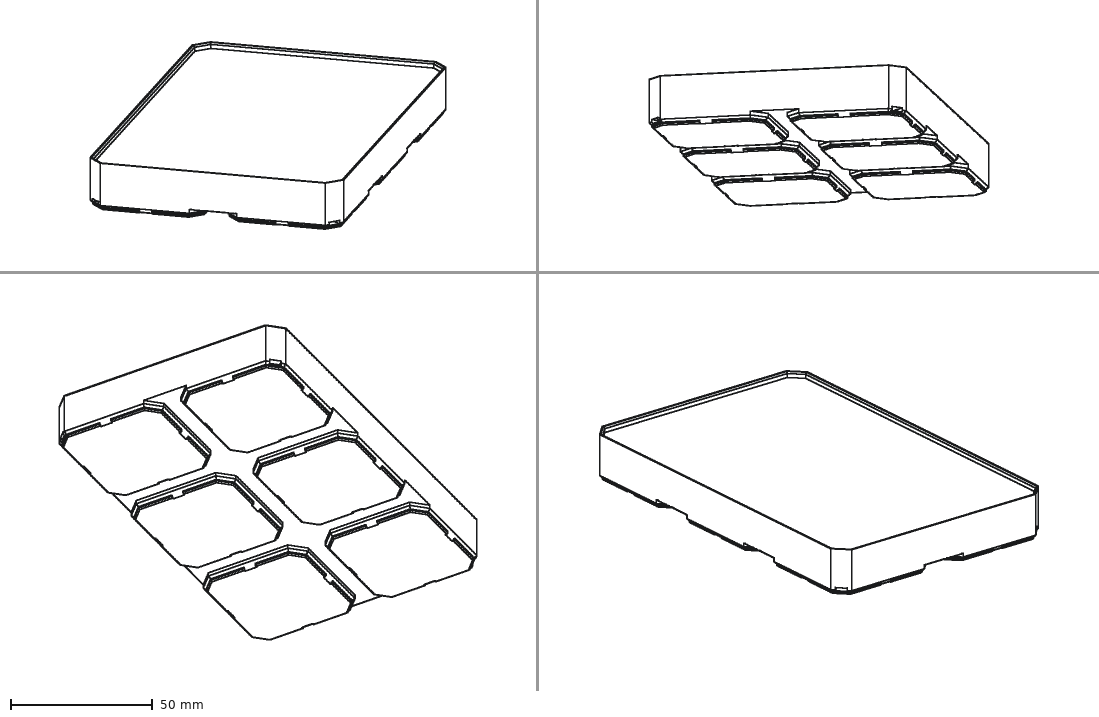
import cadquery as cq
import math

CELL_PITCH = 50.0
CELLS_X = 2
CELLS_Y = 3
FOOT_SIZE = 43.0
CORNER_CUT = 5.2

TOTAL_HEIGHT = 17.6
FOOT_HEIGHT = 3.3

TOE_CHAMFER = 0.5
TOE_WALL = 0.5
SHOULDER_CHAMFER = 0.9
SHOULDER_HEIGHT = TOE_CHAMFER + TOE_WALL + SHOULDER_CHAMFER

RIM_FLAT = 0.4
RIM_CHAMFER = 0.6
RIM_WALL = 1.5

NOTCH_WIDTH = 4.6

SLOT_WIDTH = 4.2
SLOT_DEPTH = 6.0
SLOT_FLOOR = 1.4
SLOT_ROOF = 2.8

LENGTH_X = (CELLS_X - 1) * CELL_PITCH + FOOT_SIZE
LENGTH_Y = (CELLS_Y - 1) * CELL_PITCH + FOOT_SIZE
CUT_SHRINK = 2 - math.sqrt(2)


def octagon_points(size_x, size_y, inset):
    """Corner points of a corner-cut rectangle offset inward by the inset."""
    half_x = size_x / 2 - inset
    half_y = size_y / 2 - inset
    cut = CORNER_CUT - CUT_SHRINK * inset
    points = []
    for sx, sy in [(1, 1), (-1, 1), (-1, -1), (1, -1)]:
        ends = [
            (sx * half_x, sy * (half_y - cut)),
            (sx * (half_x - cut), sy * half_y),
        ]
        points += ends if sx * sy > 0 else ends[::-1]
    return points


def corner_cut_layer(size_x, size_y, z_low, z_high, inset_low, inset_high):
    """Solid between two corner-cut rectangles at different heights."""
    return (
        cq.Workplane("XY", origin=(0, 0, z_low))
        .polyline(octagon_points(size_x, size_y, inset_low))
        .close()
        .workplane(offset=z_high - z_low)
        .polyline(octagon_points(size_x, size_y, inset_high))
        .close()
        .loft(ruled=True, combine=True)
    )


def make_edge_notch():
    """Cutter for the notch in the +X edge of a foot."""
    edge = FOOT_SIZE / 2
    return (
        cq.Workplane("XZ", origin=(0, NOTCH_WIDTH / 2, 0))
        .polyline([
            (edge, 0),
            (edge, SHOULDER_HEIGHT),
            (edge - SHOULDER_HEIGHT, 0),
        ])
        .close()
        .extrude(NOTCH_WIDTH)
    )


def make_foot():
    """Corner-cut foot with chamfered toe and shoulder and four edge notches."""
    wall_top = TOE_CHAMFER + TOE_WALL
    wall_inset = SHOULDER_CHAMFER
    toe_inset = SHOULDER_CHAMFER + TOE_CHAMFER
    size = FOOT_SIZE
    foot = (
        corner_cut_layer(size, size, 0, TOE_CHAMFER, toe_inset, wall_inset)
        .union(corner_cut_layer(size, size, TOE_CHAMFER, wall_top, wall_inset, wall_inset))
        .union(corner_cut_layer(size, size, wall_top, SHOULDER_HEIGHT, wall_inset, 0))
        .union(corner_cut_layer(size, size, SHOULDER_HEIGHT, FOOT_HEIGHT, 0, 0))
    )
    notch = make_edge_notch()
    for side in range(4):
        foot = foot.cut(notch.rotate((0, 0, 0), (0, 0, 1), 90 * side))
    return foot


def make_body():
    """Block above the feet with its shallow recess and chamfered rim."""
    recess_floor = TOTAL_HEIGHT - RIM_CHAMFER - RIM_WALL
    wall_inset = RIM_FLAT + RIM_CHAMFER
    chamfer_base = TOTAL_HEIGHT - RIM_CHAMFER
    body = corner_cut_layer(LENGTH_X, LENGTH_Y, FOOT_HEIGHT, TOTAL_HEIGHT, 0, 0)
    body = body.cut(
        corner_cut_layer(LENGTH_X, LENGTH_Y, recess_floor, chamfer_base, wall_inset, wall_inset)
    )
    return body.cut(
        corner_cut_layer(LENGTH_X, LENGTH_Y, chamfer_base, TOTAL_HEIGHT, wall_inset, RIM_FLAT)
    )


def make_corner_slot(sx, sy):
    """Diagonal cutter centred on the corner facet of the given quadrant."""
    facet_x = sx * (LENGTH_X - CORNER_CUT) / 2
    facet_y = sy * (LENGTH_Y - CORNER_CUT) / 2
    return (
        cq.Workplane("XY")
        .box(2 * SLOT_DEPTH, SLOT_WIDTH, SLOT_ROOF - SLOT_FLOOR, centered=(True, True, False))
        .rotate((0, 0, 0), (0, 0, 1), 45 * sx * sy)
        .translate((facet_x, facet_y, SLOT_FLOOR))
    )


def make_base():
    """Recessed block on its grid of feet, slotted at the outer corners."""
    base = make_body()
    foot = make_foot()
    for column in range(CELLS_X):
        for row in range(CELLS_Y):
            x = (column - (CELLS_X - 1) / 2) * CELL_PITCH
            y = (row - (CELLS_Y - 1) / 2) * CELL_PITCH
            base = base.union(foot.translate((x, y, 0)))
    for sx in (-1, 1):
        for sy in (-1, 1):
            base = base.cut(make_corner_slot(sx, sy))
    return base


result = make_base()